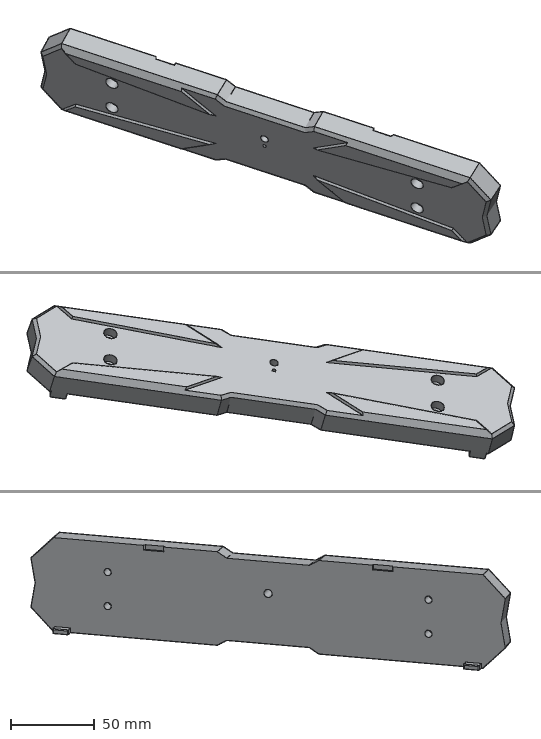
import cadquery as cq
import math

LENGTH = 295.5
HEIGHT = 58.5
HALF_LENGTH = LENGTH / 2
HALF_HEIGHT = HEIGHT / 2
WALL_DEPTH = 13.0
WALL_DRAFT = 2.0
BEVEL = 2.0
BEVEL_ANGLE = 45.0
BODY_DEPTH = WALL_DEPTH + BEVEL
FRONT_Y = -BODY_DEPTH

CORNER_CUT = 14.0
END_NOTCH = 2.7
WAIST_DROP = 3.5
WAIST_HALF_LENGTH = 25.7
WAIST_RAMP = 6.0

PAD_RISE = 1.5
PAD_DRAFT = 30.0
PAD_OUTER_X = 132.7
PAD_BEND_X = 123.5
PAD_TIP_X = 32.0
PAD_INNER_X = 54.5
PAD_BEND_Z = 18.0
PAD_TIP_Z = 12.0
PAD_EDGE_Z = HALF_HEIGHT - BEVEL - WALL_DEPTH * math.tan(math.radians(WALL_DRAFT))

SCREW_X = 100.0
SCREW_Z = 10.5
SCREW_HOLE = 4.5
SCREW_HEAD = 8.0
SCREW_HEAD_DEPTH = 6.0

CENTRE_HOLE = 5.0
CENTRE_HOLE_Z = 6.0
PIT_DIAMETER = 2.0
PIT_Z = -0.3
PIT_DEPTH = 3.0

TAB_LENGTH = 4.7
TAB_WIDTH = 9.8
TAB_THICKNESS = 3.0
TAB_CENTRE_X = 128.0
TAB_CHAMFER = 0.5

SLOT_INNER_X = 65.0
SLOT_OUTER_X = 77.7
SLOT_SLANT = 1.0
SLOT_DEPTH = 1.8
SLOT_HEIGHT = 3.0

SIDES = (-1, 1)


def front_plane(y):
    """Work plane parallel to the front face, facing -Y."""
    return cq.Workplane("XZ", origin=(0, y, 0))


def make_bevelled_plate(bevel):
    """Plate with drafted sides, topped by a bevel of the given height."""
    waist_z = HALF_HEIGHT - WAIST_DROP
    ramp_x = WAIST_HALF_LENGTH + WAIST_RAMP
    quarter = [
        (WAIST_HALF_LENGTH, waist_z),
        (ramp_x, HALF_HEIGHT),
        (HALF_LENGTH - CORNER_CUT, HALF_HEIGHT),
        (HALF_LENGTH, HALF_HEIGHT - CORNER_CUT),
    ]
    right = quarter + [(HALF_LENGTH - END_NOTCH, 0)] + [(x, -z) for x, z in reversed(quarter)]
    left = [(-x, -z) for x, z in right]
    wall = front_plane(0).polyline(right + left).close().extrude(WALL_DEPTH, taper=WALL_DRAFT)
    return wall.faces("<Y").wires().toPending().workplane().extrude(bevel, taper=BEVEL_ANGLE)


def extend(start, end):
    """Carry the line from start through end on to the full height of the plate."""
    stretch = (HALF_HEIGHT - start[1]) / (end[1] - start[1])
    return (start[0] + stretch * (end[0] - start[0]), HALF_HEIGHT)


def make_pad(side_x, side_z):
    outline = [
        extend((PAD_BEND_X, PAD_BEND_Z), (PAD_OUTER_X, PAD_EDGE_Z)),
        (PAD_BEND_X, PAD_BEND_Z),
        (PAD_TIP_X, PAD_TIP_Z),
        extend((PAD_TIP_X, PAD_TIP_Z), (PAD_INNER_X, PAD_EDGE_Z)),
    ]
    points = [(side_x * x, side_z * z) for x, z in outline]
    return front_plane(FRONT_Y).polyline(points).close().extrude(PAD_RISE, taper=PAD_DRAFT)


def make_tab(side_x):
    centre_z = -HALF_HEIGHT + TAB_THICKNESS / 2
    tab = cq.Workplane("XY").box(TAB_WIDTH, TAB_LENGTH, TAB_THICKNESS, centered=(True, False, True))
    tab = tab.faces(">Y").edges("|Z or >Z").chamfer(TAB_CHAMFER)
    return tab.translate((side_x * TAB_CENTRE_X, 0, centre_z))


def make_slot(side_x):
    outline = [
        (SLOT_INNER_X, 0),
        (SLOT_OUTER_X, 0),
        (SLOT_OUTER_X - SLOT_SLANT, -SLOT_DEPTH),
        (SLOT_INNER_X, -SLOT_DEPTH),
    ]
    points = [(side_x * x, y) for x, y in outline]
    floor = cq.Workplane("XY").workplane(offset=HALF_HEIGHT - SLOT_HEIGHT)
    return floor.polyline(points).close().extrude(SLOT_HEIGHT)


def make_front_hole(x, z, diameter, depth):
    return front_plane(FRONT_Y + depth).center(x, z).circle(diameter / 2).extrude(depth)


result = make_bevelled_plate(BEVEL)
pad_limit = make_bevelled_plate(BEVEL + PAD_RISE)
for side_x in SIDES:
    for side_z in SIDES:
        result = result.union(make_pad(side_x, side_z).intersect(pad_limit))
        screw = (side_x * SCREW_X, side_z * SCREW_Z)
        result = result.cut(make_front_hole(*screw, SCREW_HOLE, BODY_DEPTH))
        result = result.cut(make_front_hole(*screw, SCREW_HEAD, SCREW_HEAD_DEPTH))
    result = result.union(make_tab(side_x))
    result = result.cut(make_slot(side_x))
result = result.cut(make_front_hole(0, CENTRE_HOLE_Z, CENTRE_HOLE, BODY_DEPTH))
result = result.cut(make_front_hole(0, PIT_Z, PIT_DIAMETER, PIT_DEPTH))